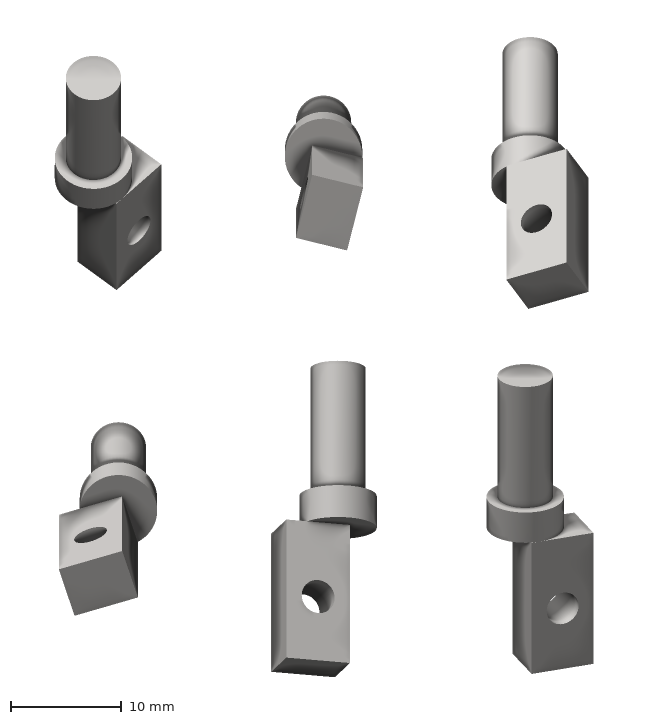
import cadquery as cq

PIN_DIAMETER = 5.0
PIN_LENGTH = 12.0
COLLAR_DIAMETER = 7.0
COLLAR_HEIGHT = 3.0

BLOCK_WIDTH = 4.75
BLOCK_DEPTH = 6.0
BLOCK_HEIGHT = 13.0
BLOCK_FRONT_Y = -0.75

BLOCK_RIGHT_X = COLLAR_DIAMETER / 2
BLOCK_CENTER_X = BLOCK_RIGHT_X - BLOCK_WIDTH / 2
BLOCK_CENTER_Y = BLOCK_FRONT_Y + BLOCK_DEPTH / 2

HOLE_DIAMETER = 3.1
HOLE_HEIGHT = 6.0

COLLAR_BOTTOM_Z = BLOCK_HEIGHT
PIN_BOTTOM_Z = COLLAR_BOTTOM_Z + COLLAR_HEIGHT


def cylinder_on_axis(diameter, height, bottom_z):
    """Upright cylinder centred on the Z axis."""
    return cq.Workplane("XY").workplane(offset=bottom_z).circle(diameter / 2).extrude(height)


def make_block():
    """Block standing on Z = 0."""
    return (
        cq.Workplane("XY")
        .center(BLOCK_CENTER_X, BLOCK_CENTER_Y)
        .rect(BLOCK_WIDTH, BLOCK_DEPTH)
        .extrude(BLOCK_HEIGHT)
    )


def make_cross_hole():
    """Cylinder along X that passes through the full width of the block."""
    return (
        cq.Workplane("YZ")
        .workplane(offset=BLOCK_RIGHT_X - BLOCK_WIDTH)
        .center(BLOCK_CENTER_Y, HOLE_HEIGHT)
        .circle(HOLE_DIAMETER / 2)
        .extrude(BLOCK_WIDTH)
    )


collar = cylinder_on_axis(COLLAR_DIAMETER, COLLAR_HEIGHT, COLLAR_BOTTOM_Z)
pin = cylinder_on_axis(PIN_DIAMETER, PIN_LENGTH, PIN_BOTTOM_Z)

result = make_block().cut(make_cross_hole()).union(collar).union(pin)